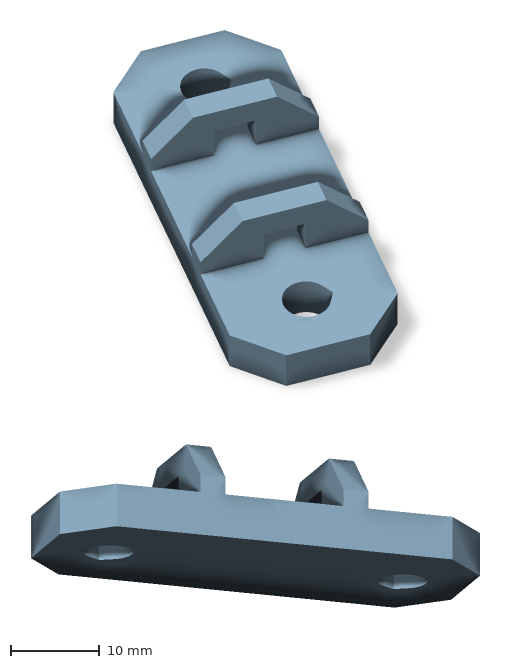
import cadquery as cq
import math

length = 50.0
width = 20.0
base_height = 5.0
corner_cut = 5.0

bridge_thickness = 3.0
bridge_height = 7.0
bridge_offset = 8.5
window_width = 5.0
window_height = 4.0

hole_offset = 17.5
hole_radius = 2.75
flank_angle = math.radians(30)
tip_height = hole_radius / math.cos(flank_angle)


def make_base():
    plate = cq.Workplane("XY").box(length, width, base_height, centered=(True, True, False))
    return plate.edges("|Z").chamfer(corner_cut)


def make_bridge(x):
    """Chamfered wall with a strap window resting on the plate."""
    wall = (
        cq.Workplane("XY", origin=(x, 0, 0))
        .box(bridge_thickness, width, base_height + bridge_height, centered=(True, True, False))
        .faces(">Z").edges("|X")
        .chamfer(corner_cut)
    )
    window = cq.Workplane("XY", origin=(x, 0, base_height)).box(
        bridge_thickness, window_width, window_height, centered=(True, True, False)
    )
    return wall.cut(window)


def make_hole(x):
    """Round hole whose +Y side rises to a shallow point."""
    flank_x = hole_radius * math.sin(flank_angle)
    flank_y = hole_radius * math.cos(flank_angle)
    return (
        cq.Workplane("XY", origin=(x, 0, 0))
        .moveTo(-flank_x, flank_y)
        .threePointArc((0, -hole_radius), (flank_x, flank_y))
        .lineTo(0, tip_height)
        .close()
        .extrude(base_height)
    )


result = make_base()
for side in (-1, 1):
    result = result.union(make_bridge(side * bridge_offset))
    result = result.cut(make_hole(side * hole_offset))